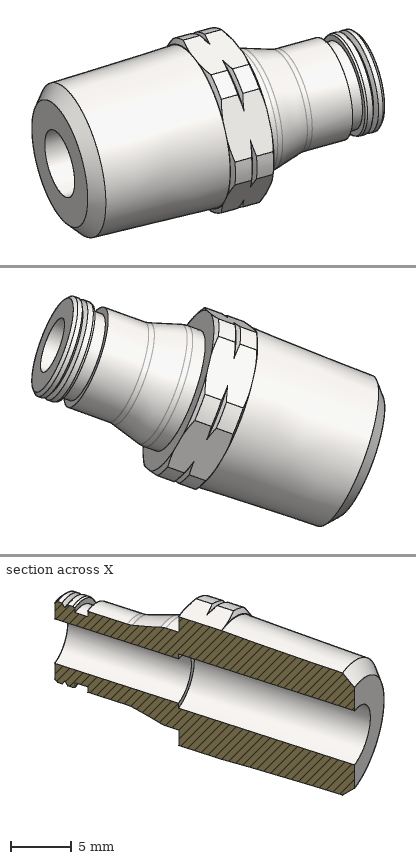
import cadquery as cq
import math

length = 27.8

thread_length = 12.3
thread_root_radius = 7.0
thread_taper = 1 / 32
nose_radius = 5.47
nose_chamfer_length = 1.1

hex_length = 4.0
hex_across_flats = 14.0
hex_corner_radius = 7.5
hex_face_radius = 7.05
hex_chamfer_angle = math.radians(30)
corner_groove_root_radius = 7.11
corner_groove_angle = math.radians(30)

shoulder_radius = 5.34
shoulder_length = 1.15
stem_radius = 4.42
cone_length = 3.58
cone_angle = math.radians(16.5)

stem_length = 3.7
neck_radius = 3.84

head_length = 1.9
tip_chamfer = 0.28
inner_chamfer_length = 0.2
inner_chamfer_depth = 0.08
head_groove_radius = 4.0
head_groove_center = 0.95
head_groove_half_width = 0.25

bore_radius = 2.4
entry_bore_radius = 2.92

hex_start = thread_length
hex_end = hex_start + hex_length
cone_start = hex_end + shoulder_length
cone_end = cone_start + cone_length
neck_start = cone_end + stem_length
head_start = length - head_length


def revolve_about_y(sketch):
    return sketch.close().revolve(360, (0, 0, 0), (0, 1, 0))


def cylinder(radius, start, end):
    return cq.Workplane("XZ", origin=(0, start, 0)).circle(radius).extrude(start - end)


def make_thread():
    """Tapered plug with a chamfered nose."""
    chamfer_radius = thread_root_radius - thread_taper * (thread_length - nose_chamfer_length)
    return revolve_about_y(
        cq.Workplane("XY")
        .moveTo(0, 0)
        .lineTo(nose_radius, 0)
        .lineTo(chamfer_radius, nose_chamfer_length)
        .lineTo(thread_root_radius, thread_length)
        .lineTo(0, thread_length)
    )


def make_hexagon():
    """Hexagonal prism trimmed by a chamfered round body with a V-groove at mid-length."""
    chamfer_length = (hex_corner_radius - hex_face_radius) * math.tan(hex_chamfer_angle)
    groove_depth = hex_corner_radius - corner_groove_root_radius
    groove_half_width = groove_depth * math.tan(corner_groove_angle)
    hex_middle = (hex_start + hex_end) / 2

    across_corners = hex_across_flats / math.cos(math.radians(30))
    prism = (
        cq.Workplane("XZ", origin=(0, hex_start, 0))
        .polygon(6, across_corners)
        .extrude(-hex_length)
    )
    round_body = revolve_about_y(
        cq.Workplane("XY")
        .moveTo(0, hex_start)
        .lineTo(hex_face_radius, hex_start)
        .lineTo(hex_corner_radius, hex_start + chamfer_length)
        .lineTo(hex_corner_radius, hex_middle - groove_half_width)
        .lineTo(corner_groove_root_radius, hex_middle)
        .lineTo(hex_corner_radius, hex_middle + groove_half_width)
        .lineTo(hex_corner_radius, hex_end - chamfer_length)
        .lineTo(hex_face_radius, hex_end)
        .lineTo(0, hex_end)
    )
    return prism.intersect(round_body)


def make_stem():
    """Shoulder, cone blended by a tangent arc at each end, straight stem and neck."""
    radius_drop = shoulder_radius - stem_radius
    blend_radius = (
        (cone_length * math.tan(cone_angle) - radius_drop)
        / (2 * (math.sin(cone_angle) * math.tan(cone_angle) - 1 + math.cos(cone_angle)))
    )

    def blend_offset(angle):
        """Axial and radial distance along a blend arc after turning by an angle."""
        return blend_radius * math.sin(angle), blend_radius * (1 - math.cos(angle))

    mid_length, mid_drop = blend_offset(cone_angle / 2)
    blend_length, blend_drop = blend_offset(cone_angle)
    return revolve_about_y(
        cq.Workplane("XY")
        .moveTo(0, hex_end)
        .lineTo(shoulder_radius, hex_end)
        .lineTo(shoulder_radius, cone_start)
        .threePointArc(
            (shoulder_radius - mid_drop, cone_start + mid_length),
            (shoulder_radius - blend_drop, cone_start + blend_length),
        )
        .lineTo(stem_radius + blend_drop, cone_end - blend_length)
        .threePointArc(
            (stem_radius + mid_drop, cone_end - mid_length),
            (stem_radius, cone_end),
        )
        .lineTo(stem_radius, neck_start)
        .lineTo(neck_radius, neck_start)
        .lineTo(neck_radius, head_start)
        .lineTo(0, head_start)
    )


def make_head():
    """Grooved ring at the stem tip with chamfered ends."""
    groove_middle = length - head_groove_center
    return revolve_about_y(
        cq.Workplane("XY")
        .moveTo(0, head_start)
        .lineTo(stem_radius - inner_chamfer_depth, head_start)
        .lineTo(stem_radius, head_start + inner_chamfer_length)
        .lineTo(stem_radius, groove_middle - head_groove_half_width)
        .lineTo(head_groove_radius, groove_middle)
        .lineTo(stem_radius, groove_middle + head_groove_half_width)
        .lineTo(stem_radius, length - tip_chamfer)
        .lineTo(stem_radius - tip_chamfer, length)
        .lineTo(0, length)
    )


body = make_thread().union(make_hexagon()).union(make_stem()).union(make_head())

result = body.cut(cylinder(bore_radius, 0, length)).cut(cylinder(entry_bore_radius, 0, hex_end))